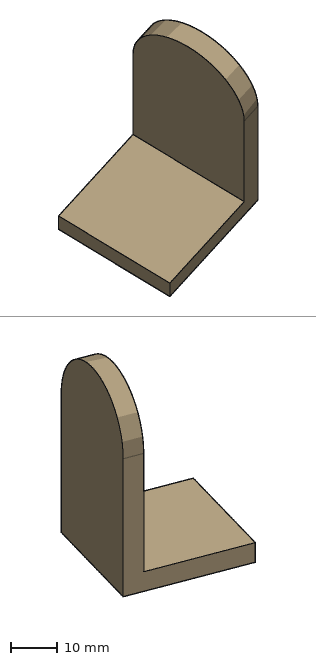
import cadquery as cq

width = 30.0
depth = 32.0
height = 50.0
thickness = 5.0

top_radius = width / 2
arc_start_height = height - top_radius

base = cq.Workplane("XY").box(width, depth, thickness, centered=(True, False, False))

upright = (
    cq.Workplane("XZ", origin=(0, depth, 0))
    .moveTo(-width / 2, 0)
    .lineTo(width / 2, 0)
    .lineTo(width / 2, arc_start_height)
    .threePointArc((0, height), (-width / 2, arc_start_height))
    .close()
    .extrude(thickness)
)

result = base.union(upright)